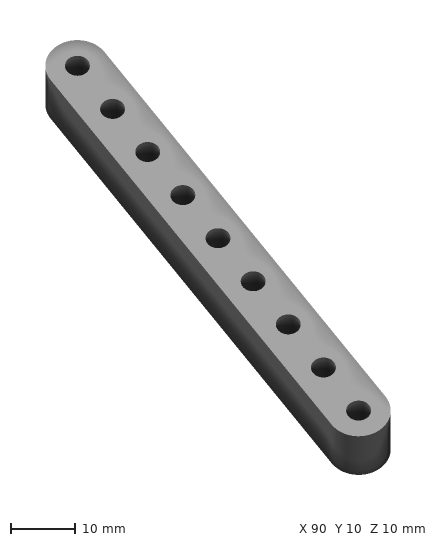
import cadquery as cq

length = 90.0
hole_count = 9
pitch = length / hole_count
width = pitch
height = width
hole_diameter = 3.9

bar = cq.Workplane("XY").slot2D(length, width).extrude(height)

result = (
    bar.faces(">Z")
    .workplane(origin=(0, 0, height))
    .rarray(pitch, pitch, hole_count, 1)
    .hole(hole_diameter)
)